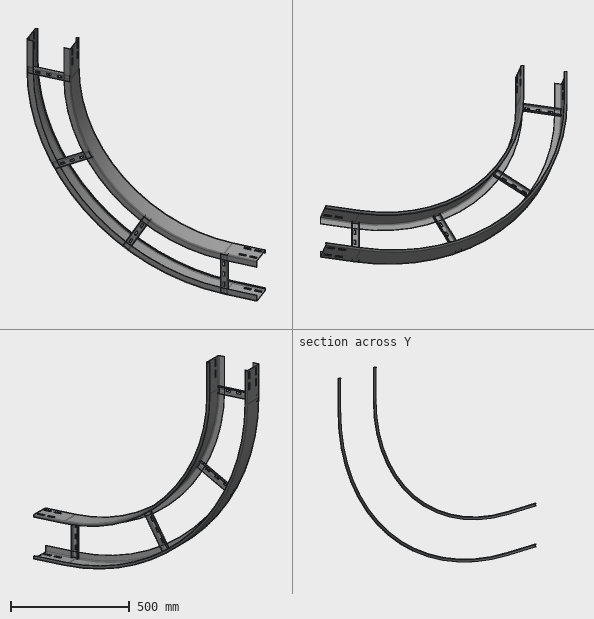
import cadquery as cq
overall_length = 1050.0
straight_length = 150.0
tray_width = 201.0
outer_rail_radius = overall_length - straight_length
inner_rail_radius = outer_rail_radius - tray_width
bend_angle = 90.0

rail_height = 100.0
sheet = 1.5
front_lip = 30.0
back_lip = 13.0
back_hem = 9.0
fold_radius = 4.0
front_y = -rail_height / 2
back_y = rail_height / 2

joint_slot_length = 30.0
joint_slot_width = 8.0
joint_slot_distances = (25.0, 75.0)
joint_slot_rows = (front_y + 25.0, back_y - 20.0)

rung_count = 4
rung_width = 32.0
rung_depth = 15.0
rung_end_gap = 3.0
rung_fold_radius = 3.0
rung_slot_count = 3
rung_slot_pitch = 50.0
rung_slot_length = 20.0
rung_slot_width = 7.0


def rail_section(web_radius, lip_side):
    """Closed section of a rail on XY; lip_side is +1 when the lips point towards the bend axis."""

    def point(inset, y):
        return (-web_radius + lip_side * inset, y)

    return (
        cq.Workplane("XY")
        .moveTo(*point(front_lip, front_y))
        .lineTo(*point(fold_radius, front_y))
        .tangentArcPoint(point(0, front_y + fold_radius), relative=False)
        .lineTo(*point(0, back_y - fold_radius))
        .tangentArcPoint(point(fold_radius, back_y), relative=False)
        .lineTo(*point(back_lip - fold_radius, back_y))
        .tangentArcPoint(point(back_lip, back_y - fold_radius), relative=False)
        .lineTo(*point(back_lip, back_y - back_hem))
        .lineTo(*point(back_lip - sheet, back_y - back_hem))
        .lineTo(*point(back_lip - sheet, back_y - fold_radius))
        .tangentArcPoint(point(back_lip - fold_radius, back_y - sheet), relative=False)
        .lineTo(*point(fold_radius, back_y - sheet))
        .tangentArcPoint(point(sheet, back_y - fold_radius), relative=False)
        .lineTo(*point(sheet, front_y + fold_radius))
        .tangentArcPoint(point(fold_radius, front_y + sheet), relative=False)
        .lineTo(*point(front_lip, front_y + sheet))
        .close()
    )


def straight_end(web_radius, lip_side):
    """Straight end of a rail, rising along +Z from the bend, with its joint slots."""
    end = rail_section(web_radius, lip_side).extrude(straight_length)
    slot_centres = [
        (y, straight_length - distance) for y in joint_slot_rows for distance in joint_slot_distances
    ]
    slots = (
        cq.Workplane("YZ", origin=(-web_radius, 0, 0))
        .pushPoints(slot_centres)
        .rect(joint_slot_width, joint_slot_length)
        .extrude(fold_radius, both=True)
    )
    return end.cut(slots)


def make_rail(web_radius, lip_side):
    """Rail with a straight end along +Z, a bend and a straight end along +X."""
    bend = rail_section(web_radius, lip_side).revolve(bend_angle, (0, 0, 0), (0, -1, 0))
    upright_end = straight_end(web_radius, lip_side)
    level_end = upright_end.mirror("XY").rotate((0, 0, 0), (0, 1, 0), -bend_angle)
    return bend.union(upright_end, clean=False).union(level_end, clean=False)


def make_rung(angle):
    """Slotted channel between the rail webs, turned by angle around the bend axis."""
    start = inner_rail_radius + sheet + rung_end_gap
    end = outer_rail_radius - sheet - rung_end_gap
    length = end - start
    middle = -(start + end) / 2
    face_y = front_y + sheet

    body = (
        cq.Workplane("XZ", origin=(middle, face_y, 0))
        .rect(length, rung_width)
        .extrude(-rung_depth)
        .edges("|X and <Y")
        .fillet(rung_fold_radius)
    )
    hollow = (
        cq.Workplane("XZ", origin=(middle, face_y + sheet, 0))
        .rect(length, rung_width - 2 * sheet)
        .extrude(-rung_depth)
        .edges("|X and <Y")
        .fillet(rung_fold_radius - sheet)
    )
    slots = (
        cq.Workplane("XZ", origin=(middle, face_y, 0))
        .rarray(rung_slot_pitch, 10, rung_slot_count, 1)
        .rect(rung_slot_length, rung_slot_width)
        .extrude(-rung_depth)
    )
    return body.cut(hollow).cut(slots).rotate((0, 0, 0), (0, 1, 0), -angle)


outer_rail = make_rail(outer_rail_radius, 1)
inner_rail = make_rail(inner_rail_radius, -1)
rung_step = bend_angle / (rung_count - 1)
rungs = [make_rung(i * rung_step) for i in range(rung_count)]

result = cq.Compound.makeCompound(
    [outer_rail.val(), inner_rail.val(), *[rung.val() for rung in rungs]]
)